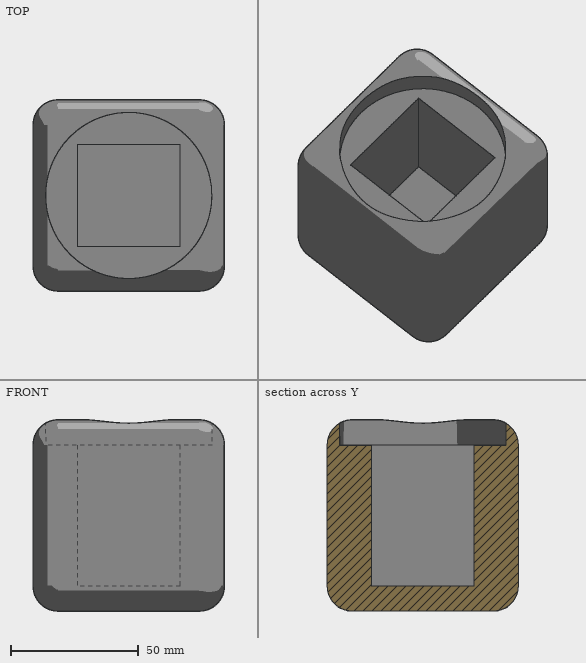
import cadquery as cq

cube_side = 75.0
edge_radius = 10.0
recess_diameter = 65.0
recess_depth = 10.0
pocket_side = 40.0
floor_thickness = 10.0

top_z = cube_side / 2
recess_floor_z = top_z - recess_depth
pocket_depth = cube_side - recess_depth - floor_thickness

body = cq.Workplane("XY").box(cube_side, cube_side, cube_side).edges().fillet(edge_radius)

recess = (
    cq.Workplane("XY")
    .workplane(offset=top_z)
    .circle(recess_diameter / 2)
    .extrude(-recess_depth)
)

pocket = (
    cq.Workplane("XY")
    .workplane(offset=recess_floor_z)
    .rect(pocket_side, pocket_side)
    .extrude(-pocket_depth)
)

result = body.cut(recess).cut(pocket)